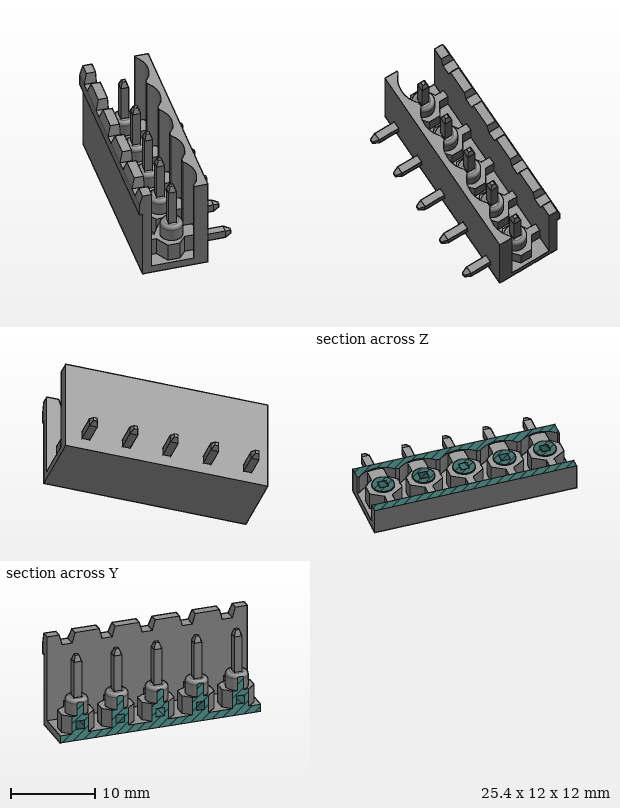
import cadquery as cq


PIN_COUNT = 5
PITCH = 5.08
LENGTH = PIN_COUNT * PITCH
PIN_X = [(i - (PIN_COUNT - 1) / 2) * PITCH for i in range(PIN_COUNT)]

HEIGHT = 12.0
FLOOR = 1.0
LEDGE = 0.38
FRONT_WALL = 1.15
BACK_WALL = 1.7
BACK_Y = 8.48
FRONT_INNER_Y = LEDGE + FRONT_WALL
BACK_INNER_Y = BACK_Y - BACK_WALL
LEDGE_BOTTOM = 9.17

NOTCH_DEPTH = 1.32
NOTCH_TOP_WIDTH = 2.0
NOTCH_BOTTOM_WIDTH = 1.27
NOTCH_FLOOR_Z = HEIGHT - NOTCH_DEPTH

SCALLOP_WIDTH = 4.57
SCALLOP_DEPTH = 0.91
SCALLOP_Y = BACK_INNER_Y + SCALLOP_DEPTH

SUPPORT_TOP = 3.28
SUPPORT_WIDTH = 4.1
FRONT_NECK_WIDTH = 0.97
BACK_NECK_WIDTH = 2.03
FRONT_NECK_END_Y = 2.7
SUPPORT_FRONT_Y = 3.65
SUPPORT_BACK_Y = 5.15
BACK_NECK_START_Y = 6.05
BOSS_DIAMETER = 2.75
BOSS_TOP = 5.28
BOSS_ROUNDING = 0.48

PIN_SIZE = 1.0
PIN_TIP_SIZE = 0.43
PIN_TAPER = 0.75
PIN_Y = 4.7
PIN_Z = 2.0
PIN_TOP = 10.7
PIN_END_Y = 12.0


def make_channel():
    """U-shaped body with the latch ledge along the top of its front wall."""
    profile = [
        (LEDGE, 0),
        (BACK_Y, 0),
        (BACK_Y, HEIGHT),
        (BACK_INNER_Y, HEIGHT),
        (BACK_INNER_Y, FLOOR),
        (FRONT_INNER_Y, FLOOR),
        (FRONT_INNER_Y, HEIGHT),
        (LEDGE, HEIGHT),
        (0, NOTCH_FLOOR_Z),
        (0, LEDGE_BOTTOM),
        (LEDGE, LEDGE_BOTTOM),
    ]
    return cq.Workplane("YZ").polyline(profile).close().extrude(LENGTH / 2, both=True)


def make_notch(x):
    """Tapered cutter across the full thickness of the front wall."""
    return (
        cq.Workplane("XZ")
        .polyline([
            (x - NOTCH_BOTTOM_WIDTH / 2, NOTCH_FLOOR_Z),
            (x + NOTCH_BOTTOM_WIDTH / 2, NOTCH_FLOOR_Z),
            (x + NOTCH_TOP_WIDTH / 2, HEIGHT),
            (x - NOTCH_TOP_WIDTH / 2, HEIGHT),
        ])
        .close()
        .extrude(-FRONT_INNER_Y)
    )


def make_scallop(x):
    """Arc-backed cutter into the back wall, from the floor to the top."""
    return (
        cq.Workplane("XY", origin=(x, 0, FLOOR))
        .moveTo(-SCALLOP_WIDTH / 2, BACK_INNER_Y)
        .threePointArc((0, SCALLOP_Y), (SCALLOP_WIDTH / 2, BACK_INNER_Y))
        .close()
        .extrude(HEIGHT - FLOOR)
    )


def make_support(x):
    """Necked block on the floor, carrying a round boss with a rounded rim."""
    right_side = [
        (FRONT_NECK_WIDTH / 2, FRONT_INNER_Y),
        (FRONT_NECK_WIDTH / 2, FRONT_NECK_END_Y),
        (SUPPORT_WIDTH / 2, SUPPORT_FRONT_Y),
        (SUPPORT_WIDTH / 2, SUPPORT_BACK_Y),
        (BACK_NECK_WIDTH / 2, BACK_NECK_START_Y),
        (BACK_NECK_WIDTH / 2, SCALLOP_Y),
    ]
    left_side = [(-half_width, y) for half_width, y in reversed(right_side)]
    block = (
        cq.Workplane("XY", origin=(x, 0, FLOOR))
        .polyline(right_side + left_side)
        .close()
        .extrude(SUPPORT_TOP - FLOOR)
    )
    boss = (
        cq.Workplane("XY", origin=(x, PIN_Y, SUPPORT_TOP))
        .circle(BOSS_DIAMETER / 2)
        .extrude(BOSS_TOP - SUPPORT_TOP)
        .faces(">Z")
        .edges()
        .fillet(BOSS_ROUNDING)
    )
    return block.union(boss)


def make_leg(base, direction, length):
    """Square bar from base along direction, with a pyramid taper at its far end."""
    plane = cq.Plane(origin=base, xDir=(1, 0, 0), normal=direction)
    shaft_length = length - PIN_TAPER
    shaft = cq.Workplane(plane).rect(PIN_SIZE, PIN_SIZE).extrude(shaft_length)
    tip = (
        cq.Workplane(plane)
        .workplane(offset=shaft_length)
        .rect(PIN_SIZE, PIN_SIZE)
        .workplane(offset=PIN_TAPER)
        .rect(PIN_TIP_SIZE, PIN_TIP_SIZE)
        .loft(ruled=True)
    )
    return shaft.union(tip)


def make_pin(x):
    """L-shaped pin: one leg rises through the boss, the other leaves through the back wall."""
    corner_y = PIN_Y - PIN_SIZE / 2
    corner_z = PIN_Z - PIN_SIZE / 2
    upright = make_leg((x, PIN_Y, corner_z), (0, 0, 1), PIN_TOP - corner_z)
    tail = make_leg((x, corner_y, PIN_Z), (0, 1, 0), PIN_END_Y - corner_y)
    return upright.union(tail)


pins = [make_pin(x) for x in PIN_X]

housing = make_channel()
for x, pin in zip(PIN_X, pins):
    housing = housing.cut(make_notch(x)).cut(make_scallop(x))
    housing = housing.union(make_support(x)).cut(pin)

result = cq.Compound.makeCompound([housing.solids().val(), *[pin.solids().val() for pin in pins]])